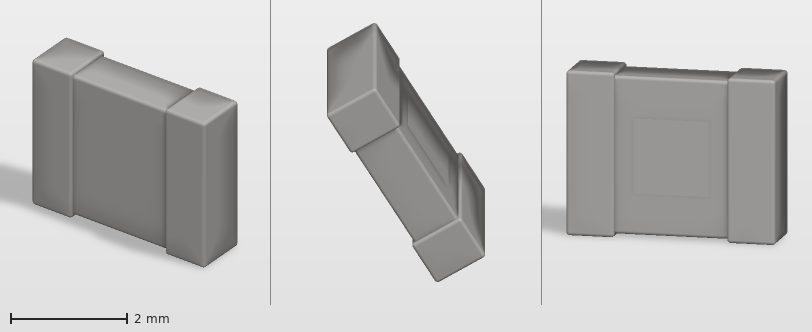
import cadquery as cq

length = 3.7
depth = 1.0
height = 2.9

terminal_length = 0.85
step = 0.06
edge_radius = 0.06

label_width = 1.325
label_height = label_width
label_thickness = 0.01

core_length = length - 2 * terminal_length
core_depth = depth - 2 * step
core_height = height - 2 * step
terminal_offset = (length - terminal_length) / 2


def make_core():
    """Ceramic core between the terminals, rounded along its length."""
    return cq.Workplane("XY").box(core_length, core_depth, core_height).edges("|X").fillet(edge_radius)


def make_terminal(side):
    """End terminal rounded on all edges; side is -1 or +1 along X."""
    block = cq.Workplane("XY").box(terminal_length, depth, height).edges().fillet(edge_radius)
    return block.translate((side * terminal_offset, 0, 0))


def make_label():
    """Thin square plate lying centred on the +Y face of the core."""
    label_center_y = (core_depth + label_thickness) / 2
    plate = cq.Workplane("XY").box(label_width, label_thickness, label_height)
    return plate.translate((0, label_center_y, 0))


core = make_core()
terminals = [make_terminal(side) for side in (-1, 1)]
label = make_label()

result = cq.Compound.makeCompound([
    core.val(),
    *[terminal.val() for terminal in terminals],
    label.val(),
])